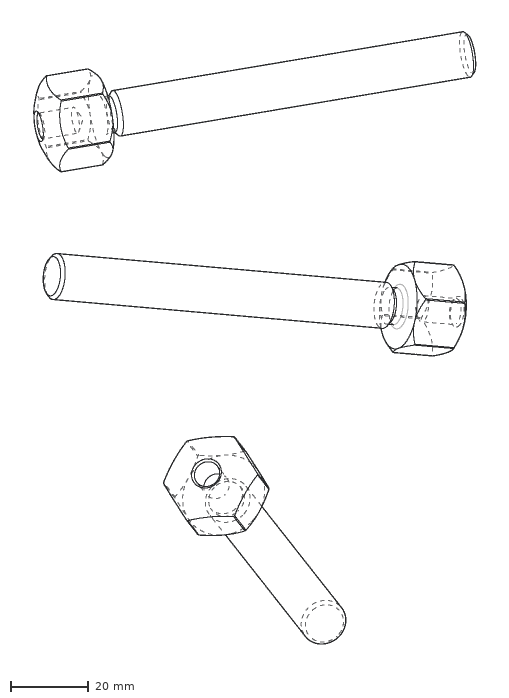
import cadquery as cq
import math


ACROSS_FLATS = 22.0
CORNER_DIAMETER = 25.2
HEAD_HEIGHT = 17.0
DOME_RADIUS = 20.0
BEARING_DIAMETER = 22.0
SHANK_DIAMETER = 12.0
SHANK_LENGTH = 99.98
TIP_CHAMFER = 0.9
NECK_DIAMETER = 9.6
NECK_FILLET = 1.0
UNDERCUT_LENGTH = 4.1
HOLE_DIAMETER = 6.8
HOLE_RIM_DIAMETER = 8.0
HOLE_DEPTH = 10.0
DRILL_POINT_ANGLE = 118.0

corner_radius = CORNER_DIAMETER / 2
bearing_radius = BEARING_DIAMETER / 2
shank_radius = SHANK_DIAMETER / 2
neck_radius = NECK_DIAMETER / 2
hole_radius = HOLE_DIAMETER / 2
rim_radius = HOLE_RIM_DIAMETER / 2
rim_chamfer = rim_radius - hole_radius
bearing_chamfer = corner_radius - bearing_radius
undercut_depth = shank_radius - neck_radius


def dome_drop(radius):
    """Axial distance from the dome apex to the dome surface at a given radius."""
    return DOME_RADIUS - math.sqrt(DOME_RADIUS**2 - radius**2)


apex_y = -HEAD_HEIGHT - dome_drop(rim_radius)


def revolve_about_y(profile):
    """Close a radius-by-Y half profile and revolve it about the screw axis."""
    return profile.close().revolve(360, (0, 0, 0), (0, 1, 0))


def make_head():
    """Hexagon trimmed by a turned body: domed end, rounded corners, chamfered bearing face."""
    hexagon_circumdiameter = ACROSS_FLATS / math.cos(math.pi / 6)
    hexagon = cq.Workplane("XZ").polygon(6, hexagon_circumdiameter).extrude(-apex_y)
    mid_radius = corner_radius / 2
    turned_body = revolve_about_y(
        cq.Workplane("XY")
        .moveTo(0, 0)
        .lineTo(bearing_radius, 0)
        .lineTo(corner_radius, -bearing_chamfer)
        .lineTo(corner_radius, apex_y + dome_drop(corner_radius))
        .threePointArc((mid_radius, apex_y + dome_drop(mid_radius)), (0, apex_y))
    )
    return hexagon.intersect(turned_body)


def make_shank():
    """Round shank with a filleted neck at the head and a chamfered tip."""
    fillet_mid = NECK_FILLET * (1 - math.sqrt(0.5))
    return revolve_about_y(
        cq.Workplane("XY")
        .moveTo(0, 0)
        .lineTo(neck_radius + NECK_FILLET, 0)
        .threePointArc((neck_radius + fillet_mid, fillet_mid), (neck_radius, NECK_FILLET))
        .lineTo(neck_radius, UNDERCUT_LENGTH - undercut_depth)
        .lineTo(shank_radius, UNDERCUT_LENGTH)
        .lineTo(shank_radius, SHANK_LENGTH - TIP_CHAMFER)
        .lineTo(shank_radius - TIP_CHAMFER, SHANK_LENGTH)
        .lineTo(0, SHANK_LENGTH)
    )


def make_hole():
    """Blind hole in the domed end, with a chamfered rim and a conical drill point."""
    hole_bottom_y = HOLE_DEPTH - HEAD_HEIGHT
    point_height = hole_radius / math.tan(math.radians(DRILL_POINT_ANGLE / 2))
    return revolve_about_y(
        cq.Workplane("XY")
        .moveTo(0, apex_y)
        .lineTo(rim_radius, apex_y)
        .lineTo(rim_radius, -HEAD_HEIGHT)
        .lineTo(hole_radius, rim_chamfer - HEAD_HEIGHT)
        .lineTo(hole_radius, hole_bottom_y)
        .lineTo(0, hole_bottom_y + point_height)
    )


result = make_head().union(make_shank()).cut(make_hole())